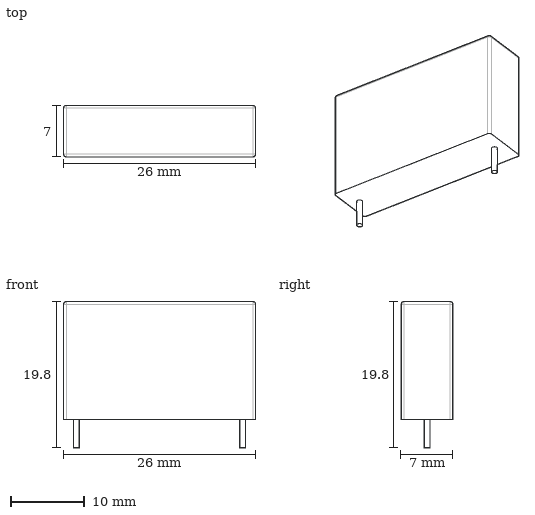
import cadquery as cq

housing_length = 26.0
housing_width = 7.0
housing_height = 16.0
edge_radius = 0.4

total_height = 19.8
pin_length = total_height - housing_height
pin_diameter = 0.8
pin_pitch = 22.5


def make_housing():
    """Box with rounded upright and top edges and a sharp, flat underside."""
    box = cq.Workplane("XY").box(
        housing_length, housing_width, housing_height, centered=(True, True, False)
    )
    return box.edges("|Z or >Z").fillet(edge_radius)


def make_pin(x):
    """Straight round pin that hangs from the underside of the housing at x."""
    return cq.Workplane("XY").center(x, 0).circle(pin_diameter / 2).extrude(-pin_length)


housing = make_housing()
pins = [make_pin(side * pin_pitch / 2) for side in (-1, 1)]

result = cq.Compound.makeCompound([housing.val(), *[pin.val() for pin in pins]])